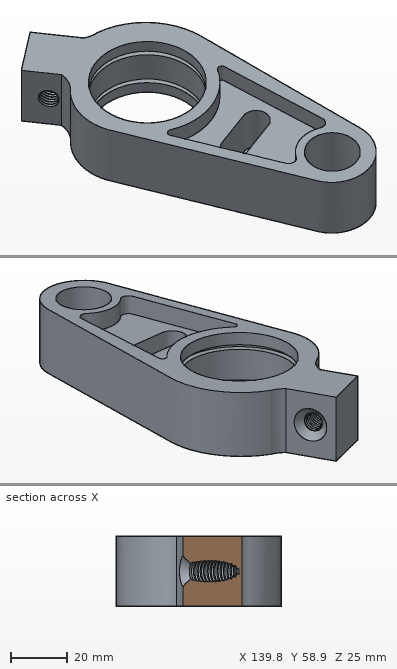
import cadquery as cq
import math

overall_length = 139.8
thickness = 25.0

bore_radius = 21.0
groove_radius = 23.3
groove_width = 1.8
groove_inset = 4.8

small_bore_x = 75.0
small_bore_y = 0.4
small_bore_radius = 9.9

large_end_x = -0.4
large_end_y = -0.4
large_end_radius = 31.0
small_end_radius = 16.0
large_end_stop_angle = 152.5
top_edge_angle = 79.3
bottom_edge_start = (-0.8, -28.2)
bottom_edge_end = (76.2, -15.4)
lower_arc_middle = (-13.3, -25.7)

arm_angle = 20.0
arm_width = 20.0
arm_end_x = -45.7
arm_end_y = -7.0
arm_top_length = 19.3
arm_bottom_length = 14.5
upper_fillet_middle = (-29.2, 11.0)
lower_fillet_middle = (-24.5, -13.7)
lower_fillet_end = (-21.5, -17.8)

arm_corner_x = arm_end_x - arm_width / 2 * math.sin(math.radians(arm_angle))
small_end_x = arm_corner_x + overall_length - small_end_radius

thread_major_diameter = 7.5
thread_minor_diameter = 6.8
thread_pitch = 1.3
countersink_diameter = 12.6
countersink_depth = 2.7
screw_hole_from_end = 9.9

pocket_depth = 7.0
pocket_large_radius = 25.9
pocket_small_radius = 13.1
pocket_left_corner_radius = 1.5
pocket_right_corner_radius = 2.8
pocket_left_x = 11.2
pocket_right_x = 72.7
pocket_top_y = 23.3
pocket_top_slope = -0.15
pocket_bottom_y = -23.5
pocket_bottom_slope = 0.17
slot_x = 39.8
slot_width = 10.0
slot_length = 26.0


def polar(center_x, center_y, radius, degrees):
    """Point on a circle at the given angle."""
    angle = math.radians(degrees)
    return (center_x + radius * math.cos(angle), center_y + radius * math.sin(angle))


def arm_point(along, across):
    """Point measured from the middle of the arm's end face, along and across the arm."""
    x, y = polar(arm_end_x, arm_end_y, along, arm_angle)
    return polar(x, y, across, arm_angle + 90)


def cylinder(x, y, radius, bottom, height):
    return cq.Workplane("XY", origin=(x, y, bottom)).circle(radius).extrude(height)


def body():
    """Tapered plate with two rounded ends and the clamp arm."""
    large_end_middle_angle = (top_edge_angle + large_end_stop_angle) / 2
    return (
        cq.Workplane("XY")
        .moveTo(*bottom_edge_start)
        .lineTo(*bottom_edge_end)
        .threePointArc(
            (small_end_x + small_end_radius, small_bore_y),
            polar(small_end_x, small_bore_y, small_end_radius, top_edge_angle),
        )
        .lineTo(*polar(large_end_x, large_end_y, large_end_radius, top_edge_angle))
        .threePointArc(
            polar(large_end_x, large_end_y, large_end_radius, large_end_middle_angle),
            polar(large_end_x, large_end_y, large_end_radius, large_end_stop_angle),
        )
        .threePointArc(upper_fillet_middle, arm_point(arm_top_length, arm_width / 2))
        .lineTo(*arm_point(0, arm_width / 2))
        .lineTo(*arm_point(0, -arm_width / 2))
        .lineTo(*arm_point(arm_bottom_length, -arm_width / 2))
        .threePointArc(lower_fillet_middle, lower_fillet_end)
        .threePointArc(lower_arc_middle, bottom_edge_start)
        .close()
        .extrude(thickness)
    )


def grooved_bore():
    """Large bore with one ring groove near each face."""
    cutter = cylinder(0, 0, bore_radius, 0, thickness)
    for bottom in (groove_inset, thickness - groove_inset - groove_width):
        cutter = cutter.union(cylinder(0, 0, groove_radius, bottom, groove_width))
    return cutter


def pocket():
    """Tapered pocket whose ends curve around the two bores."""
    floor = thickness - pocket_depth
    corners = [
        (x, offset + slope * x)
        for x, offset, slope in (
            (pocket_left_x, pocket_bottom_y, pocket_bottom_slope),
            (pocket_right_x, pocket_bottom_y, pocket_bottom_slope),
            (pocket_right_x, pocket_top_y, pocket_top_slope),
            (pocket_left_x, pocket_top_y, pocket_top_slope),
        )
    ]
    cavity = (
        cq.Workplane("XY", origin=(0, 0, floor))
        .polyline(corners)
        .close()
        .extrude(pocket_depth)
        .cut(cylinder(0, 0, pocket_large_radius, floor, pocket_depth))
        .cut(cylinder(small_bore_x, small_bore_y, pocket_small_radius, floor, pocket_depth))
    )
    left_half = cq.selectors.BoxSelector((0, -overall_length, 0), (slot_x, overall_length, thickness))
    right_half = cq.selectors.BoxSelector(
        (slot_x, -overall_length, 0),
        (overall_length, overall_length, thickness),
    )
    return (
        cavity.edges("|Z")
        .edges(left_half)
        .fillet(pocket_left_corner_radius)
        .edges("|Z")
        .edges(right_half)
        .fillet(pocket_right_corner_radius)
    )


def slot():
    return cq.Workplane("XY").center(slot_x, 0).slot2D(slot_length, slot_width, 90).extrude(thickness)


def screw_hole():
    """Hole across the arm: ring-shaped thread grooves below a countersink in the upper side."""
    major = thread_major_diameter / 2
    minor = thread_minor_diameter / 2
    threaded_length = arm_width - countersink_depth
    groove_count = math.floor(threaded_length / thread_pitch)
    profile = [(0, 0), (major, 0)]
    for index in range(groove_count):
        start = index * thread_pitch
        profile.append((minor, start + thread_pitch / 2))
        profile.append((major, start + thread_pitch))
    profile += [
        (minor, threaded_length),
        (countersink_diameter / 2, arm_width),
        (0, arm_width),
    ]
    x, y = arm_point(screw_hole_from_end, -arm_width / 2)
    across_x, across_y = polar(0, 0, 1, arm_angle + 90)
    lower_face = cq.Plane(
        origin=(x, y, thickness / 2),
        xDir=(0, 0, 1),
        normal=(across_x, across_y, 0),
    )
    cutter = cq.Workplane("XY").polyline(profile).close().revolve(360, (0, 0), (0, 1))
    standing = cutter.rotate((0, 0, 0), (1, 0, 0), 90)
    return cq.Workplane(standing.val().moved(lower_face.location))


small_bore = cylinder(small_bore_x, small_bore_y, small_bore_radius, 0, thickness)
result = body().cut(grooved_bore()).cut(small_bore).cut(pocket()).cut(slot()).cut(screw_hole())